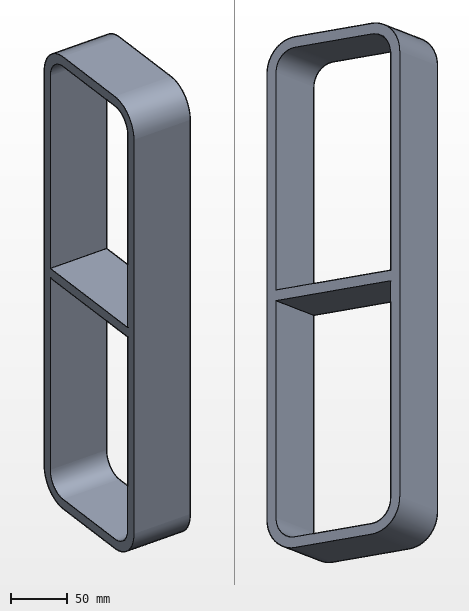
import cadquery as cq

width = 140.5
depth = 60.0
height = 466.0
wall = 10.0
outer_radius = 30.0
inner_radius = outer_radius - wall


def rounded_block(size_x, size_z, corner_radius):
    """Full-depth block with its four Y-direction edges rounded."""
    return cq.Workplane("XY").box(size_x, depth, size_z).edges("|Y").fillet(corner_radius)


inner_width = width - 2 * wall
inner_height = height - 2 * wall
outer_block = rounded_block(width, height, outer_radius)
opening = rounded_block(inner_width, inner_height, inner_radius)
frame = outer_block.cut(opening)

shelf = cq.Workplane("XY").box(inner_width + wall, depth, wall)

result = frame.union(shelf)